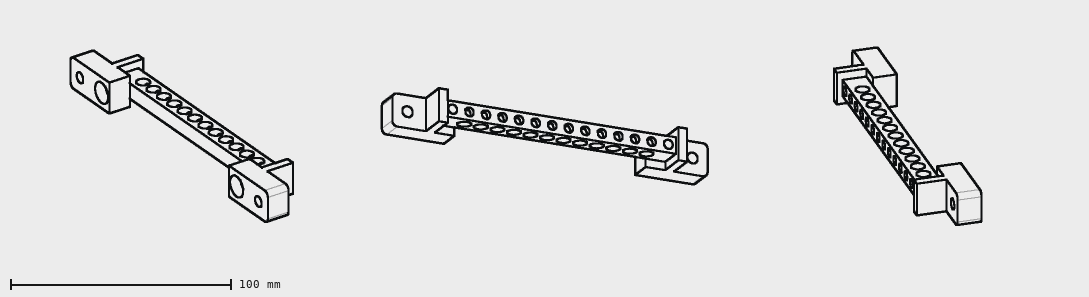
import cadquery as cq

overall_length = 157.36
overall_depth = 25.48
bracket_height = 16.05

foot_length = 31.0
foot_depth = 11.4
foot_corner_radius = 2.5
tab_thickness = 4.4
mounting_hole_diameter = 5.2
mounting_hole_inset = 7.6

bar_length = 115.0
bar_depth = 11.4
bar_height = 8.0
wire_hole_count = 12
wire_hole_pitch = 8.26
wire_hole_diameter = 6.4
clamp_hole_diameter = 4.2

joint_half_span = 53.8
head_bore_diameter = 10.4
head_bore_depth = 5.7
clearance_hole_diameter = 5.8
tapped_hole_diameter = 4.4

half_length = overall_length / 2
half_bar_length = bar_length / 2
bar_front = foot_depth
bar_middle = bar_front + bar_depth / 2
bar_rear = bar_front + bar_depth


def cylinder_along_y(x, diameter, y_start, y_end):
    """Round cutter on the mid-height line, running from y_start to y_end."""
    return cq.Workplane(
        cq.Solid.makeCylinder(
            diameter / 2, y_end - y_start, cq.Vector(x, y_start, 0), cq.Vector(0, 1, 0)
        )
    )


def make_bracket(side):
    """Bracket at one end of the bar; side is -1 for the -X end and +1 for the +X end."""
    foot = (
        cq.Workplane("XY")
        .box(foot_length, foot_depth, bracket_height)
        .translate((side * (half_length - foot_length / 2), foot_depth / 2, 0))
        .edges("|Y and " + (">X" if side > 0 else "<X"))
        .fillet(foot_corner_radius)
    )
    tab_depth = overall_depth - foot_depth
    tab = (
        cq.Workplane("XY")
        .box(tab_thickness, tab_depth, bracket_height)
        .translate((side * (half_bar_length + tab_thickness / 2), foot_depth + tab_depth / 2, 0))
    )
    mounting_hole = cylinder_along_y(
        side * (half_length - mounting_hole_inset), mounting_hole_diameter, 0, foot_depth
    )
    joint_x = side * joint_half_span
    head_bore = cylinder_along_y(joint_x, head_bore_diameter, 0, head_bore_depth)
    clearance_hole = cylinder_along_y(joint_x, clearance_hole_diameter, 0, foot_depth)
    return foot.union(tab).cut(mounting_hole).cut(head_bore).cut(clearance_hole)


def make_bar():
    """Bar with the row of wire holes, their clamping screw holes and the two tapped end holes."""
    bar = cq.Workplane("XY").box(bar_length, bar_depth, bar_height).translate((0, bar_middle, 0))
    for index in range(wire_hole_count):
        x = (index - (wire_hole_count - 1) / 2) * wire_hole_pitch
        wire_hole = (
            cq.Workplane("XY")
            .center(x, bar_middle)
            .circle(wire_hole_diameter / 2)
            .extrude(bar_height / 2, both=True)
        )
        clamp_hole = cylinder_along_y(x, clamp_hole_diameter, bar_middle, bar_rear)
        bar = bar.cut(wire_hole).cut(clamp_hole)
    for side in (-1, 1):
        bar = bar.cut(cylinder_along_y(side * joint_half_span, tapped_hole_diameter, bar_front, bar_rear))
    return bar


brackets = [make_bracket(side) for side in (-1, 1)]
bar = make_bar()

result = cq.Compound.makeCompound([bar.val(), *[bracket.val() for bracket in brackets]])